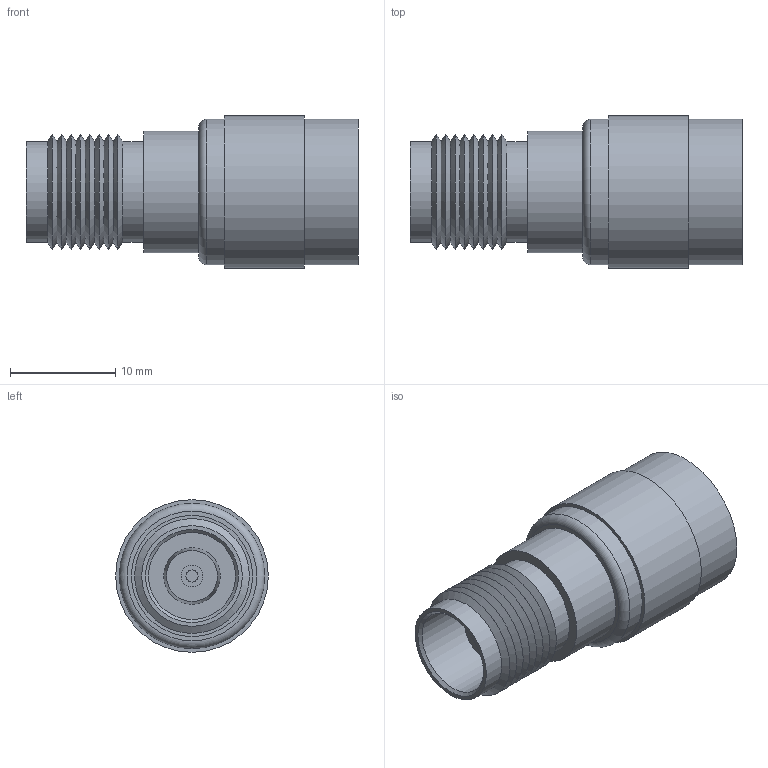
import cadquery as cq

OVERALL_LENGTH = 31.5
THREAD_START = 2.05
THREAD_PITCH = 0.89
THREAD_COUNT = 8
CORE_START = 11.15
SLEEVE_START = 16.4
GRIP_START = 18.8
GRIP_END = 26.4

TUBE_DIAMETER = 9.56
THREAD_DIAMETER = 10.9
CORE_DIAMETER = 11.5
SLEEVE_DIAMETER = 13.8
GRIP_DIAMETER = 14.48
SLEEVE_FILLET = 0.75

BORE_DIAMETER = 8.26
BORE_DEPTH = 8.5
BORE_CHAMFER = 0.28

POST_BASE_DIAMETER = 5.36
POST_TIP_DIAMETER = 4.84
POST_TIP_X = 4.3

HOLE_MOUTH_DIAMETER = 2.08
HOLE_MOUTH_DEPTH = 0.5
PIN_HOLE_DIAMETER = 1.15
PIN_HOLE_DEPTH = 4.0


def cylinder(start, end, diameter):
    """Solid cylinder on the X axis between two positions."""
    return cq.Workplane("YZ").workplane(offset=start).circle(diameter / 2).extrude(end - start)


def cone(start, end, start_diameter, end_diameter):
    """Solid truncated cone on the X axis between two positions."""
    return cq.Workplane(
        cq.Solid.makeCone(
            start_diameter / 2,
            end_diameter / 2,
            end - start,
            pnt=cq.Vector(start, 0, 0),
            dir=cq.Vector(1, 0, 0),
        )
    )


def threaded_tube():
    """Tube with a row of V-shaped ridges standing for the thread."""
    tube_radius = TUBE_DIAMETER / 2
    outline = cq.Workplane("XY").lineTo(0, tube_radius).lineTo(THREAD_START, tube_radius)
    for ridge in range(THREAD_COUNT):
        ridge_start = THREAD_START + ridge * THREAD_PITCH
        outline = outline.lineTo(ridge_start + THREAD_PITCH / 2, THREAD_DIAMETER / 2)
        outline = outline.lineTo(ridge_start + THREAD_PITCH, tube_radius)
    outline = outline.lineTo(CORE_START, tube_radius).lineTo(CORE_START, 0).close()
    return outline.revolve(360, (0, 0, 0), (1, 0, 0))


def socket():
    """Material removed from the open end: chamfered bore around the post."""
    chamfer = cone(0, BORE_CHAMFER, BORE_DIAMETER + 2 * BORE_CHAMFER, BORE_DIAMETER)
    bore = cylinder(0, BORE_DEPTH, BORE_DIAMETER)
    post = cone(POST_TIP_X, BORE_DEPTH, POST_TIP_DIAMETER, POST_BASE_DIAMETER)
    return bore.union(chamfer).cut(post)


def stepped_pin_hole():
    """Material removed from the post: a wide mouth and the narrower pin hole."""
    mouth = cylinder(POST_TIP_X, POST_TIP_X + HOLE_MOUTH_DEPTH, HOLE_MOUTH_DIAMETER)
    pin_hole = cylinder(POST_TIP_X, POST_TIP_X + PIN_HOLE_DEPTH, PIN_HOLE_DIAMETER)
    return mouth.union(pin_hole)


def make_connector_body():
    """Threaded tube and the round core that carries the coupling sleeve."""
    core = cylinder(CORE_START, OVERALL_LENGTH, CORE_DIAMETER)
    return threaded_tube().union(core).cut(socket()).cut(stepped_pin_hole())


def make_coupling_sleeve():
    """Sleeve around the core, rounded at the end facing the thread, with a raised grip band."""
    sleeve = cylinder(SLEEVE_START, OVERALL_LENGTH, SLEEVE_DIAMETER)
    sleeve = sleeve.faces("<X").edges().fillet(SLEEVE_FILLET)
    grip = cylinder(GRIP_START, GRIP_END, GRIP_DIAMETER)
    core_hole = cylinder(SLEEVE_START, OVERALL_LENGTH, CORE_DIAMETER)
    return sleeve.union(grip).cut(core_hole)


connector_body = make_connector_body()
coupling_sleeve = make_coupling_sleeve()
result = cq.Compound.makeCompound([connector_body.val(), coupling_sleeve.val()])